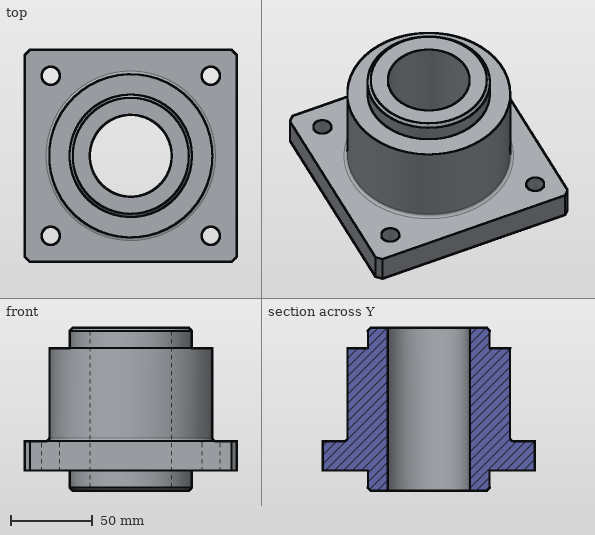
import cadquery as cq

flange_side = 130.0
flange_thickness = 18.1
corner_chamfer = 3.2

bolt_hole_diameter = 11.0
bolt_hole_spacing = 98.0

housing_diameter = 100.0
root_fillet = 2.0

sleeve_length = 100.0
sleeve_diameter = 75.0
sleeve_protrusion = 12.5
sleeve_chamfer = 2.0
bore_diameter = 50.0

housing_top = sleeve_length - 2 * sleeve_protrusion


def make_flange():
    """Square plate with bevelled upright corners."""
    plate = cq.Workplane("XY").rect(flange_side, flange_side).extrude(flange_thickness)
    return plate.edges("|Z").chamfer(corner_chamfer)


def make_housing():
    """Cylinder with a concave fillet where it meets the flange."""
    radius = housing_diameter / 2
    fillet_top = flange_thickness + root_fillet
    return (
        cq.Workplane("XZ")
        .lineTo(0, housing_top)
        .lineTo(radius, housing_top)
        .lineTo(radius, fillet_top)
        .radiusArc((radius + root_fillet, flange_thickness), -root_fillet)
        .lineTo(radius + root_fillet, 0)
        .close()
        .revolve(360, (0, 0, 0), (0, 1, 0))
    )


def make_sleeve():
    """Full-length cylinder chamfered at both outer rims."""
    sleeve = (
        cq.Workplane("XY")
        .workplane(offset=-sleeve_protrusion)
        .circle(sleeve_diameter / 2)
        .extrude(sleeve_length)
    )
    return sleeve.faces("<Z or >Z").edges().chamfer(sleeve_chamfer)


def make_bore():
    """Cutter for the bore through the whole sleeve."""
    return (
        cq.Workplane("XY")
        .workplane(offset=-sleeve_protrusion)
        .circle(bore_diameter / 2)
        .extrude(sleeve_length)
    )


def make_bolt_holes():
    """Cutters for the four holes through the flange."""
    return (
        cq.Workplane("XY")
        .rect(bolt_hole_spacing, bolt_hole_spacing, forConstruction=True)
        .vertices()
        .circle(bolt_hole_diameter / 2)
        .extrude(flange_thickness)
    )


body = make_flange().union(make_housing()).union(make_sleeve())
result = body.cut(make_bore()).cut(make_bolt_holes())